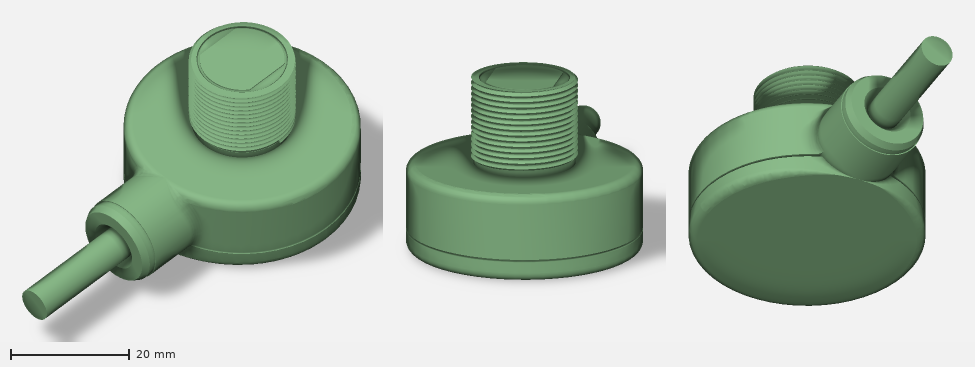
import cadquery as cq
import math

disc_diameter = 40.1
disc_radius = disc_diameter / 2
disc_height = 15.1
edge_radius = 1.5
lid_height = 3.45
seam_width = 0.4
seam_depth = 0.6
split_z = lid_height + seam_width

neck_radius = disc_height / 2
neck_z = disc_height / 2
neck_root = 14.05
collar_radius = 7.4
collar_start = 28.6
collar_chamfer = 0.6
collar_bevel_start = 29.85
neck_end = 31.0
mouth_radius = 4.35
mouth_depth = 1.5

overall_length = 70.2
cable_diameter = 5.8
cable_radius = cable_diameter / 2
cable_end = overall_length - disc_radius

overall_height = 30.1
thread_radius = 9.05
root_radius = 8.6
relief_radius = 8.65
thread_turns = 14
thread_start_z = 16.3
thread_length = overall_height - thread_start_z
thread_pitch = thread_length / thread_turns
ridge_base = 1.0
root_overlap = 0.1

ring_outer_radius = 7.7
ring_inner_radius = 7.5
ring_depth = 0.4
pad_radius = 7.15
pad_width = 11.65
pad_height = 0.2

fade_angle = math.radians(78)
fade_end = math.radians(77)
fade_power = 4
fade_sections = 8
waste_margin = 0.7


def cylinder_z(radius, bottom, top):
    return cq.Workplane("XY").workplane(offset=bottom).circle(radius).extrude(top - bottom)


def cylinder_y(radius, start, end):
    """Cylinder on the cable axis, running toward -Y between two distances from the disc axis."""
    plane = cq.Workplane("XZ", origin=(0, -start, neck_z))
    return plane.circle(radius).extrude(end - start)


def make_shell():
    """Disc with a rounded top edge, joined to the neck by a rounded corner down to the seam."""
    disc = cylinder_z(disc_radius, split_z, disc_height).faces(">Z").edges().fillet(edge_radius)
    neck = cylinder_y(neck_radius, neck_root, collar_start)
    shell = disc.union(neck)
    join_edges = [edge for edge in shell.edges().vals() if edge.geomType() == "BSPLINE"]
    return shell.newObject(join_edges).fillet(edge_radius)


def make_collar():
    collar = cylinder_y(collar_radius, collar_start, neck_end)
    return collar.faces("<Y").edges().chamfer(neck_end - collar_bevel_start, collar_chamfer)


def make_mouth():
    """Conical mouth that narrows down to the cable."""
    cone = cq.Solid.makeCone(
        mouth_radius,
        cable_radius,
        mouth_depth,
        pnt=cq.Vector(0, -neck_end, neck_z),
        dir=cq.Vector(0, 1, 0),
    )
    return cq.Workplane(obj=cone)


def make_thread():
    """Sharp right-handed ridge on the root cylinder, cut level with the end of the stud."""
    base_radius = root_radius - root_overlap
    half_base = ridge_base / 2
    helix = cq.Wire.makeHelix(thread_pitch, thread_length + thread_pitch, root_radius)
    ridge = (
        cq.Workplane("XZ")
        .moveTo(base_radius, -half_base)
        .lineTo(thread_radius, 0)
        .lineTo(base_radius, half_base)
        .close()
        .sweep(cq.Workplane(obj=helix), isFrenet=True)
        .translate((0, 0, thread_start_z))
    )
    return ridge.intersect(cylinder_z(disc_radius, disc_height, overall_height))


def make_stud():
    """Threaded stud standing on a plain relief, rooted in the disc."""
    relief = cylinder_z(relief_radius, split_z, thread_start_z)
    core = cylinder_z(root_radius, split_z, overall_height)
    return core.union(make_thread()).union(relief)


def make_end_face_cut():
    """Ring groove, and the lower ledge around the pad."""
    bottom = overall_height - ring_depth
    ring = cylinder_z(ring_outer_radius, bottom, overall_height).cut(
        cylinder_z(ring_inner_radius, bottom, overall_height)
    )
    ledge_z = overall_height - pad_height
    pad = cylinder_z(pad_radius, ledge_z, overall_height).intersect(
        cq.Workplane("XY").workplane(offset=ledge_z).rect(pad_width, disc_diameter).extrude(pad_height)
    )
    ledge = cylinder_z(ring_outer_radius, ledge_z, overall_height).cut(pad)
    return ring.union(ledge)


def make_cable():
    return cylinder_y(cable_radius, neck_root, cable_end)


def make_housing():
    body = make_shell().union(make_collar()).union(make_stud())
    return body.cut(make_end_face_cut()).cut(make_mouth()).cut(make_cable())


def corner_profile(angle):
    """Wire around the waste outside the lid's rounded lower corner, in a radial plane.

    The angle runs from the X axis toward the neck.
    """
    radius = edge_radius * (1 - (angle / fade_angle) ** fade_power)
    inset = radius * (1 - math.sqrt(0.5))
    plane = cq.Plane(
        origin=(0, 0, 0),
        xDir=(math.cos(angle), -math.sin(angle), 0),
        normal=(-math.sin(angle), -math.cos(angle), 0),
    )
    return (
        cq.Workplane(plane)
        .moveTo(disc_radius - radius, 0)
        .threePointArc((disc_radius - inset, inset), (disc_radius, radius))
        .lineTo(disc_radius + waste_margin, radius)
        .lineTo(disc_radius + waste_margin, -waste_margin)
        .lineTo(disc_radius - radius, -waste_margin)
        .close()
    )


def make_back_rounding():
    """Waste with a constant radius, on the half of the rim away from the neck."""
    return corner_profile(0).revolve(180, (0, 0), (0, 1))


def make_fading_rounding():
    """Waste with a radius that fades out from the X axis toward the neck, on the +X side."""
    path = cq.Edge.makeCircle(
        disc_radius, angle1=-math.degrees(fade_end), angle2=0, orientation=False
    )
    sections = []
    for index in range(fade_sections):
        angle = fade_end * index / (fade_sections - 1)
        sections.append(corner_profile(angle).val())
    return cq.Workplane(obj=cq.Solid.sweep_multi(sections, path))


def make_lid():
    step = cylinder_z(disc_radius - seam_depth, 0, split_z)
    lid = cylinder_z(disc_radius, 0, lid_height).union(step)
    notch = cylinder_y(neck_radius, neck_root, collar_start)
    fading = make_fading_rounding()
    lid = lid.cut(make_back_rounding()).cut(fading).cut(fading.mirror("YZ"))
    return lid.cut(notch)


housing = make_housing()
lid = make_lid()
cable = make_cable()

result = cq.Compound.makeCompound([housing.val(), lid.val(), cable.val()])